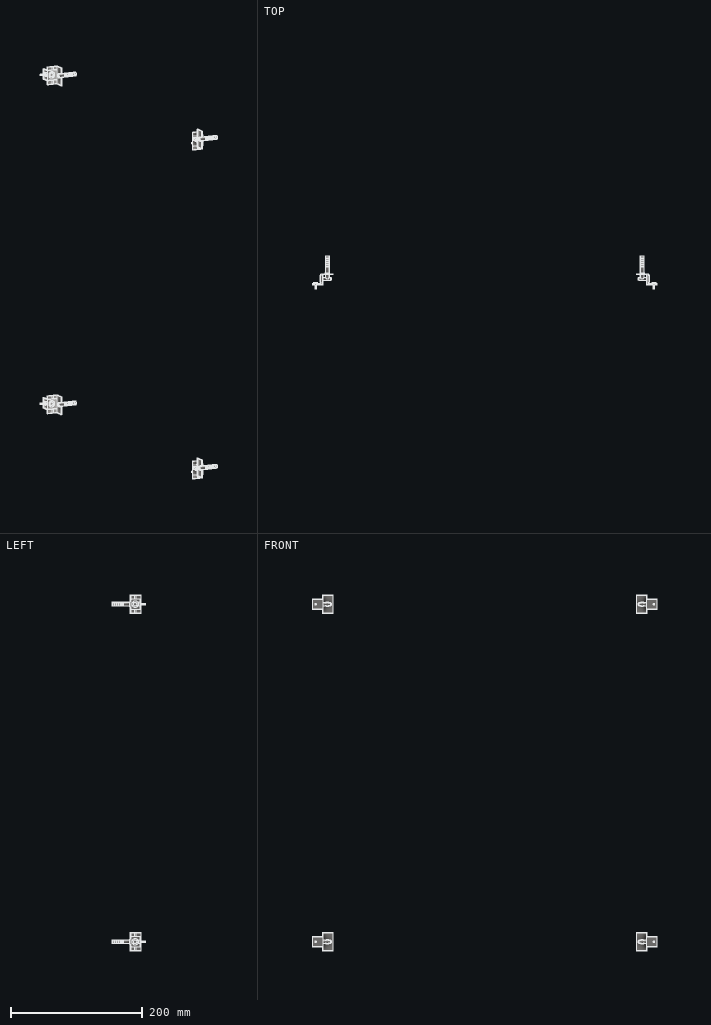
import cadquery as cq

overall_x = 525.0
overall_y = 51.0
overall_z = 542.0

angle_height = 27.5
sheet = 1.0
plate_left = 15.0
plate_right = 31.5
plate_back = 27.5

low_height = 15.5
low_sheet = 2.0
leg_left = 12.5
leg_corner_radius = 1.9
flange_front = 44.5

web_groove_width = 2.0
web_groove_depth = 0.5

shank_diameter = 6.0
shank_x = 23.0
ring_depth = 0.5
ring_width = 1.0
ring_pitch = 3.0
ring_count = 5
washer_diameter = 7.0
washer_thickness = 1.0

pivot_back = 35.0
pivot_diameter = 5.0
pivot_right = 29.0
pivot_chamfer = 1.5
rivet_head_diameter = 10.0
rivet_button_diameter = 5.5
rivet_step = 0.5

stud_x = 5.0
stud_diameter = 2.0
stud_head_diameter = 6.0
stud_head_thickness = 1.5

tip_y = overall_y / 2
plate_back_y = tip_y - plate_back
flange_front_y = tip_y - flange_front
flange_back_y = flange_front_y + low_sheet
pivot_y = tip_y - pivot_back


def box_between(x_range, y_range, height):
    """Box over the given X and Y ranges, centred on Z = 0."""
    (x0, x1), (y0, y1) = x_range, y_range
    middle = ((x0 + x1) / 2, (y0 + y1) / 2, 0)
    return cq.Workplane("XY").box(x1 - x0, y1 - y0, height).translate(middle)


def rod_along_x(x0, x1, diameter):
    """Round rod on the pivot axis from x0 to x1."""
    return cq.Workplane("YZ", origin=(x0, pivot_y, 0)).circle(diameter / 2).extrude(x1 - x0)


def rod_along_y(x, y0, y1, diameter):
    """Round rod at the given X, from y0 back to y1."""
    return cq.Workplane("XZ", origin=(x, y1, 0)).circle(diameter / 2).extrude(y1 - y0)


def make_tall_angle():
    plate = box_between((plate_left, plate_right), (plate_back_y - sheet, plate_back_y), angle_height)
    web = box_between((plate_left, plate_left + sheet), (flange_front_y, plate_back_y), angle_height)
    groove_y = (pivot_y - web_groove_width / 2, pivot_y + web_groove_width / 2)
    groove = box_between((plate_left, plate_left + web_groove_depth), groove_y, angle_height)
    return plate.union(web.cut(groove))


def make_low_angle():
    web_right = plate_left + sheet
    flange = box_between((0, web_right), (flange_front_y, flange_back_y), low_height)
    leg = box_between((leg_left, web_right), (flange_front_y, plate_back_y), low_height)
    leg = leg.edges("|Z and <X and >Y").fillet(leg_corner_radius)
    return flange.union(leg)


def make_anchor():
    shank = rod_along_y(shank_x, pivot_y, tip_y, shank_diameter)
    for number in range(ring_count):
        back = tip_y - ring_pitch * (number + 1)
        front = back - ring_width
        blank = rod_along_y(shank_x, front, back, shank_diameter)
        core = rod_along_y(shank_x, front, back, shank_diameter - 2 * ring_depth)
        shank = shank.cut(blank.cut(core))
    washer = rod_along_y(shank_x, plate_back_y, plate_back_y + washer_thickness, washer_diameter)
    return shank.union(washer)


def make_pivot():
    pin = rod_along_x(leg_left, pivot_right, pivot_diameter).faces(">X").chamfer(pivot_chamfer)
    head_left = leg_left - rivet_step
    head = rod_along_x(head_left, leg_left, rivet_head_diameter)
    button = rod_along_x(head_left - rivet_step, head_left, rivet_button_diameter)
    return pin.union(head).union(button)


def make_stud():
    stud = rod_along_y(stud_x, -overall_y / 2, flange_back_y, stud_diameter)
    head = rod_along_y(stud_x, flange_back_y, flange_back_y + stud_head_thickness, stud_head_diameter)
    return stud.union(head)


def make_mount():
    """One mount whose outer flange edge is at X = 0, centred on Z = 0."""
    mount = make_tall_angle().union(make_low_angle())
    return mount.union(make_anchor()).union(make_pivot()).union(make_stud())


left_mount = make_mount().translate((-overall_x / 2, 0, 0))
right_mount = left_mount.mirror("YZ")
corner_z = (overall_z - angle_height) / 2

mounts = []
for z in (-corner_z, corner_z):
    for side_mount in (left_mount, right_mount):
        mounts.append(side_mount.translate((0, 0, z)).val())

result = cq.Compound.makeCompound(mounts)